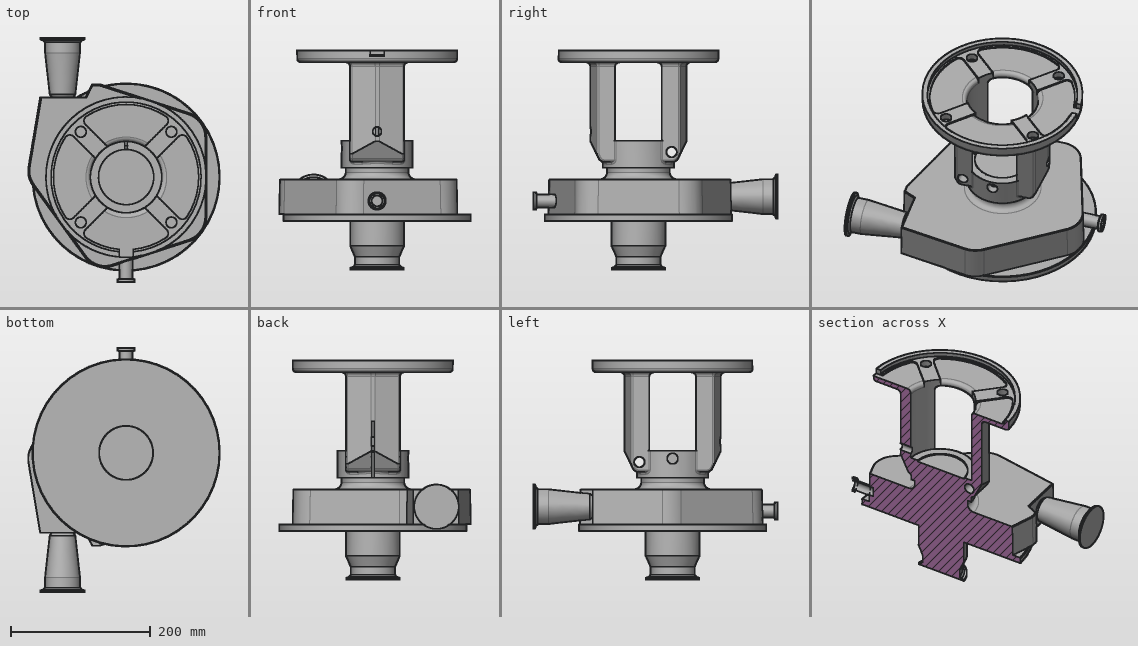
import cadquery as cq
import math

AXIS = ((0, 0, 0), (0, 0, 1))

disc_radius = 134.5
disc_thickness = 10.5
edge_chamfer = 1.0
casing_height = 50.0
casing_apothem = 115.3
casing_corner_angles = (180, 252, 324, 36)
casing_corner_radius = 35.0
casing_draft = 1.2
casing_flat_y = 133.2
casing_flat_end_x = -37.5
casing_left_end_x = -120.2
outlet_face_y = 114.5
notch_corner_x = -58.0
notch_slope_run = 10.5
notch_slope_rise = 21.0
casing_top = disc_thickness + casing_height
casing_middle = disc_thickness + casing_height / 2

neck_radius = 45.2
neck_height = 16.0
neck_flare_radius = 9.8
hub_radius = 51.0
hub_height = 39.3
hub_recess_radius = 39.5
hub_recess_depth = 2.0
hub_hole_radius = 7.7
hub_hole_z = 104.5
hub_bottom = casing_top + neck_height
hub_top = hub_bottom + hub_height

flange_radius = 115.0
flange_thickness = 17.0
flange_top = 245.5
flange_edge_fillet = 5.5
spigot_radius = 107.5
spigot_depth = 6.3
pocket_radius = 104.0
pocket_depth = 8.5
pocket_corner_radius = 7.7
pocket_lip_radius = 6.5
spoke_width = 24.2
spoke_angles = (45, 135)
bolt_circle_radius = 92.0
bolt_hole_radius = 7.7
rim_notch_width = 20.0
flange_bottom = flange_top - flange_thickness
pocket_floor = flange_top - pocket_depth

leg_width = 77.8
leg_reach = 69.0
leg_ridge_width = 6.0
leg_face_slope = 15.0
leg_edge_fillet = 3.0
leg_bottom = 85.5
leg_bevel_top = 115.0
leg_bevel_angle = 26.0
leg_bevel_fillet = 8.8
leg_flange_fillet = 6.0
leg_hub_fillet = 3.0
leg_hole_radius = 6.3
leg_hole_z = 129.0

slit_width = 3.5
slit_top = 157.7
clamp_hole_radius = 7.5
clamp_hole_y = 47.5
clamp_hole_z = 99.5

outlet_x = -91.0
outlet_root_radius = 15.8
outlet_root_depth = 10.5
outlet_neck_radius = 18.5
outlet_neck_length = 4.2
outlet_pipe_radius = 25.2
outlet_cone_end = 63.8
outlet_length = 85.0
outlet_ferrule_radius = 32.0

inlet_radius = 39.0
inlet_straight_length = 34.7
inlet_pipe_radius = 32.0
inlet_cone_end = 50.8
inlet_length = 69.0
inlet_ferrule_radius = 38.5

ferrule_rim = 2.5
ferrule_slope = 1.5
ferrule_taper = 2.8
ferrule_step = 2.8

drain_z = 29.5
drain_radius = 9.5
drain_root_depth = 7.0
drain_end_y = -150.7
drain_rim_radius = 12.5
drain_rim = 4.2
drain_collar_radius = 11.0
drain_collar = 1.0
drain_bore_radius = 7.7
drain_mouth_radius = 10.5
drain_mouth_depth = 1.0


def cylinder(radius, bottom, top):
    """Round bar on the main axis."""
    return cq.Workplane("XY").workplane(offset=bottom).circle(radius).extrude(top - bottom)


def bar_along_x(radius, y, z, x_start, x_end):
    return cq.Workplane("YZ", origin=(x_start, y, z)).circle(radius).extrude(x_end - x_start)


def bar_along_y(radius, z, y_start, y_end):
    return cq.Workplane("XZ", origin=(0, y_start, z)).circle(radius).extrude(y_start - y_end)


def revolve_about_z(profile):
    """Turn a closed radius-height profile about the main axis."""
    return profile.revolve(360, (0, 0, 0), (0, 1, 0))


def make_disc():
    return cylinder(disc_radius, 0, disc_thickness).edges().chamfer(edge_chamfer)


def make_casing():
    """Drafted pentagon with a flat tip at one corner and a notch for the outlet face."""
    corner_distance = casing_apothem / math.cos(math.radians(36))
    corners = [
        (
            corner_distance * math.cos(math.radians(angle)),
            corner_distance * math.sin(math.radians(angle)),
        )
        for angle in casing_corner_angles
    ]
    tip = [(casing_flat_end_x, casing_flat_y), (casing_left_end_x, casing_flat_y)]
    casing = (
        cq.Workplane("XY")
        .workplane(offset=disc_thickness)
        .polyline(corners + tip)
        .close()
        .extrude(casing_height, taper=casing_draft)
    )
    for x, y in corners:
        corner_edge = cq.selectors.NearestToPointSelector((x, y, casing_middle))
        casing = casing.edges(corner_edge).fillet(casing_corner_radius)

    notch_top_y = outlet_face_y + notch_slope_rise
    notch = (
        cq.Workplane("XY")
        .workplane(offset=disc_thickness)
        .polyline([
            (-disc_radius, outlet_face_y),
            (notch_corner_x, outlet_face_y),
            (notch_corner_x + notch_slope_run, notch_top_y),
            (-disc_radius, notch_top_y),
        ])
        .close()
        .extrude(casing_height)
    )
    return casing.cut(notch).faces(">Z").edges().chamfer(edge_chamfer)


def make_hub():
    """Flared neck and hub; the profile starts a little inside the casing."""
    flare_radius = neck_radius + neck_flare_radius
    profile = (
        cq.Workplane("XZ")
        .moveTo(0, casing_middle)
        .lineTo(flare_radius, casing_middle)
        .lineTo(flare_radius, casing_top)
        .radiusArc((neck_radius, casing_top + neck_flare_radius), neck_flare_radius)
        .lineTo(neck_radius, hub_bottom)
        .lineTo(hub_radius, hub_bottom)
        .lineTo(hub_radius, hub_top)
        .lineTo(0, hub_top)
        .close()
    )
    return revolve_about_z(profile)


def make_leg_column():
    """Column with ridged front and back faces and a bevelled lower end."""
    side_x = leg_width / 2
    ridge_x = leg_ridge_width / 2
    side_y = leg_reach - (side_x - ridge_x) * math.tan(math.radians(leg_face_slope))
    section = [
        (side_x, -side_y),
        (side_x, side_y),
        (ridge_x, leg_reach),
        (-ridge_x, leg_reach),
        (-side_x, side_y),
        (-side_x, -side_y),
        (-ridge_x, -leg_reach),
        (ridge_x, -leg_reach),
    ]
    column = (
        cq.Workplane("XY")
        .workplane(offset=leg_bottom)
        .polyline(section)
        .close()
        .extrude(flange_bottom - leg_bottom)
    )
    bevel_run = (leg_bevel_top - leg_bottom) * math.tan(math.radians(leg_bevel_angle))
    bevelled_outline = (
        cq.Workplane("YZ")
        .polyline([
            (leg_reach, flange_bottom),
            (leg_reach, leg_bevel_top),
            (leg_reach - bevel_run, leg_bottom),
            (bevel_run - leg_reach, leg_bottom),
            (-leg_reach, leg_bevel_top),
            (-leg_reach, flange_bottom),
        ])
        .close()
        .extrude(side_x, both=True)
    )
    column = column.intersect(bevelled_outline)
    column = column.faces("<Z").edges("|X").fillet(leg_bevel_fillet)
    below_flange = cq.selectors.BoxSelector(
        (-leg_width, -leg_width, 0), (leg_width, leg_width, flange_bottom - leg_edge_fillet)
    )
    return column.faces("<X or >X").edges(below_flange).fillet(leg_edge_fillet)


def keep_between_spokes(body):
    """Remove the two crossing diagonal spokes from a body on the main axis."""
    for angle in spoke_angles:
        spoke = cq.Workplane("XY").box(2 * flange_radius, spoke_width, 2 * flange_top)
        body = body.cut(spoke.rotate(*AXIS, angle))
    return body


def make_pocket_cutter():
    """Four sector pockets between the spokes, with a rounded lip down into the bore."""
    sectors = keep_between_spokes(cylinder(pocket_radius, pocket_floor, flange_top))
    near_axis = cq.selectors.BoxSelector(
        (-spoke_width, -spoke_width, 0), (spoke_width, spoke_width, 2 * flange_top)
    )
    outer_corners = cq.selectors.StringSyntaxSelector("|Z") - near_axis
    sectors = sectors.edges(outer_corners).fillet(pocket_corner_radius)

    lip_radius = hub_radius + pocket_lip_radius
    lip_bottom = pocket_floor - pocket_lip_radius
    lip = (
        cq.Workplane("XZ")
        .moveTo(0, flange_top)
        .lineTo(lip_radius, flange_top)
        .lineTo(lip_radius, pocket_floor)
        .radiusArc((hub_radius, lip_bottom), -pocket_lip_radius)
        .lineTo(0, lip_bottom)
        .close()
    )
    return sectors.union(keep_between_spokes(revolve_about_z(lip)))


def make_motor_bracket():
    """Motor flange and legs, bored through down to the hub."""
    flange = cylinder(flange_radius, flange_bottom, flange_top)
    flange = flange.faces("<Z").edges().fillet(flange_edge_fillet)
    bracket = flange.union(make_leg_column())
    leg_root = cq.selectors.BoxSelector(
        (-leg_reach, -leg_reach - 3.5, flange_bottom - 0.5),
        (leg_reach, leg_reach + 3.5, flange_bottom + 0.5),
    )
    bracket = bracket.edges(leg_root).fillet(leg_flange_fillet)

    bracket = bracket.cut(cylinder(hub_radius, hub_top, flange_top))
    bracket = bracket.cut(cylinder(spigot_radius, flange_top - spigot_depth, flange_top))
    bracket = bracket.cut(make_pocket_cutter())
    rim_notch_length = 2 * (flange_radius - pocket_radius)
    rim_notch = (
        cq.Workplane("XY")
        .box(rim_notch_width, rim_notch_length, pocket_depth, centered=(True, False, False))
        .translate((0, -flange_radius, pocket_floor))
    )
    bolt_holes = (
        cq.Workplane("XY")
        .workplane(offset=flange_bottom)
        .polarArray(bolt_circle_radius, 45, 360, 4)
        .circle(bolt_hole_radius)
        .extrude(flange_thickness)
    )
    return bracket.cut(rim_notch).cut(bolt_holes)


def fillet_leg_to_hub(body):
    """Round the inner corners where the sides and bottoms of the legs meet the hub."""
    around_hub = cq.selectors.BoxSelector(
        (-hub_radius, -hub_radius, hub_bottom + 0.5), (hub_radius, hub_radius, hub_top - 0.5)
    )

    contact_tolerance = 0.005

    def lies_on_hub(edge):
        points = edge.positions([0, 0.5, 1])
        return all(abs(math.hypot(point.x, point.y) - hub_radius) < contact_tolerance for point in points)

    def is_off_seam(edge):
        return abs(edge.Center().y) > contact_tolerance

    joints = [
        edge for edge in body.edges(around_hub).vals() if lies_on_hub(edge) and is_off_seam(edge)
    ]
    return body.newObject(joints).fillet(leg_hub_fillet)


def cut_hub_details(body):
    """Hub recess, clamp slit and the cross holes."""
    recess = cylinder(hub_recess_radius, hub_top - hub_recess_depth, hub_top)
    slit_length = leg_reach - hub_recess_radius
    slit = (
        cq.Workplane("XY")
        .box(slit_width, slit_length, slit_top - hub_bottom, centered=(True, False, False))
        .translate((0, hub_recess_radius, hub_bottom))
    )
    clamp_hole = bar_along_x(
        clamp_hole_radius, clamp_hole_y, clamp_hole_z, -leg_width / 2, leg_width / 2
    )
    hub_hole = bar_along_x(hub_hole_radius, 0, hub_hole_z, -hub_radius, -hub_recess_radius)
    leg_hole = bar_along_y(leg_hole_radius, leg_hole_z, 0, -leg_reach)
    for cutter in (recess, slit, clamp_hole, hub_hole, leg_hole):
        body = body.cut(cutter)
    return body


def make_ferrule_pipe(profile, ferrule_radius, length):
    """Pipe along +Z through (radius, height) points, ending in a clamp ferrule."""
    pipe_radius = profile[-1][0]
    rim_start = length - ferrule_rim
    slope_start = rim_start - ferrule_slope
    points = [(0, profile[0][1])] + profile
    points += [
        (pipe_radius, slope_start - ferrule_taper),
        (pipe_radius + ferrule_step, slope_start),
        (ferrule_radius, rim_start),
        (ferrule_radius, length),
        (0, length),
    ]
    return revolve_about_z(cq.Workplane("XZ").polyline(points).close())


def make_outlet():
    profile = [
        (outlet_root_radius, -outlet_root_depth),
        (outlet_root_radius, 0),
        (outlet_neck_radius, outlet_neck_length),
        (outlet_pipe_radius, outlet_cone_end),
    ]
    outlet = make_ferrule_pipe(profile, outlet_ferrule_radius, outlet_length)
    outlet = outlet.rotate((0, 0, 0), (1, 0, 0), -90)
    return outlet.translate((outlet_x, outlet_face_y, casing_middle))


def make_inlet():
    profile = [
        (inlet_radius, 0),
        (inlet_radius, inlet_straight_length),
        (inlet_pipe_radius, inlet_cone_end),
    ]
    inlet = make_ferrule_pipe(profile, inlet_ferrule_radius, inlet_length)
    return inlet.rotate((0, 0, 0), (1, 0, 0), 180)


def add_drain(body):
    """Drain pipe with a collared rim and a bore that stops at the casing wall."""
    rim_y = drain_end_y + drain_rim
    body = body.union(
        bar_along_y(drain_radius, drain_z, drain_root_depth - casing_apothem, drain_end_y)
    )
    body = body.union(bar_along_y(drain_collar_radius, drain_z, rim_y + drain_collar, rim_y))
    body = body.union(bar_along_y(drain_rim_radius, drain_z, rim_y, drain_end_y))
    body = body.cut(bar_along_y(drain_bore_radius, drain_z, -casing_apothem, drain_end_y))
    mouth_y = drain_end_y + drain_mouth_depth
    return body.cut(bar_along_y(drain_mouth_radius, drain_z, mouth_y, drain_end_y))


body = make_disc().union(make_casing()).union(make_hub()).union(make_motor_bracket())
body = cut_hub_details(fillet_leg_to_hub(body))
body = body.union(make_outlet()).union(make_inlet())
result = add_drain(body)